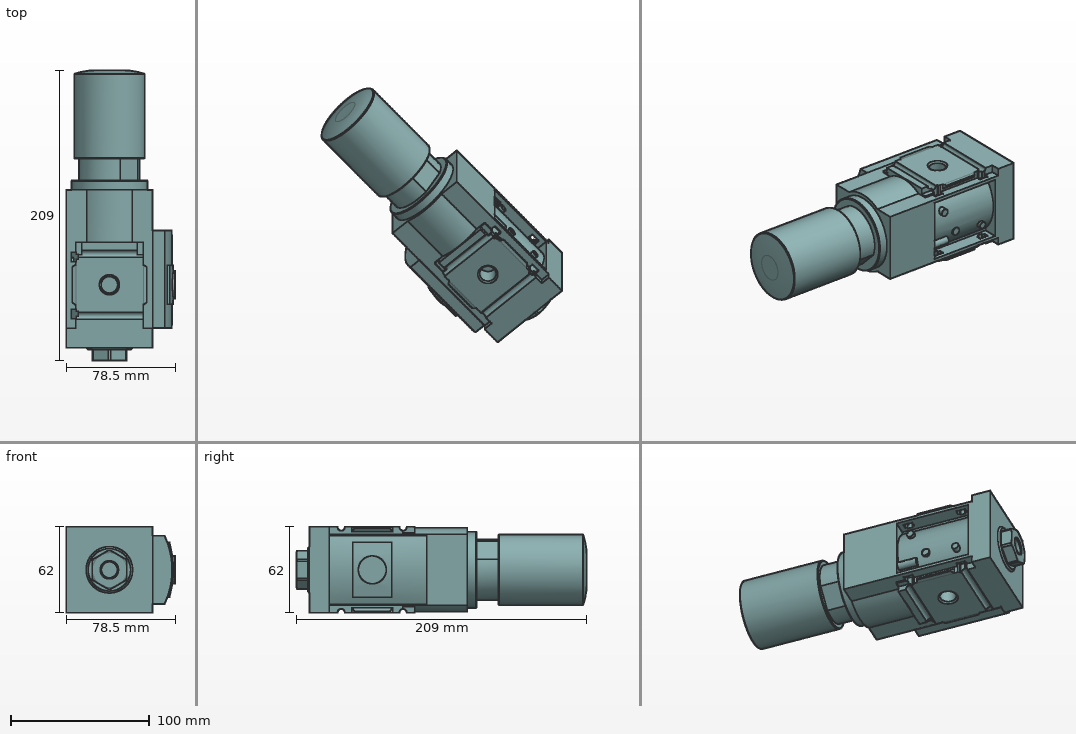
import cadquery as cq
import math


housing_width = 62.0
housing_length = 113.8
front_block_length = 14.2
slab_height = 51.0
barrel_diameter = 60.6
half_width = housing_width / 2

flange_diameter = 55.0
flange_length = 7.0
flange_chamfer = 0.6
neck_diameter = 44.0
neck_across_flats = 40.0
neck_flat_angle = 45
knob_diameter = 51.0
knob_start = 136.1
knob_chamfer = 0.6
dome_height = 2.5
dome_flat_diameter = 18.8
overall_length = 209.0
hex_length = 8.0
collar_length = 1.3
front_end = -(hex_length + collar_length)
rear_end = front_end + overall_length

collar_diameter = 33.5
collar_front_diameter = 30.5
hex_sides = 6
hex_across_flats = 24.9
hex_corner_diameter = 27.8
hex_end_diameter = 25.0
hex_end_chamfer_length = 0.5
plug_bore_diameter = 11.5
plug_bore_depth = 16.7
plug_bore_chamfer = 0.8

pad_width = 48.5
pad_end = 76.0
groove_diameter = 5.0
groove_axis_depth = 0.31
groove_positions = (23.0, 67.5)
notch_width = 4.2
notch_start = 67.1
notch_depth = 4.4
port_y = 45.4
port_diameter = 12.0
port_depth = 16.7
port_chamfer = 1.3

lip_reach = 2.5
lip_length = 29.3
lip_tip_length = 25.5
lip_tip_drop = 0.5
lip_tip_thickness = 0.8
lip_root_thickness = 3.8

pocket_start = 17.1
pocket_end = 72.8
pocket_height = 46.0
pocket_depth = 10.9
pocket_floor_diameter = 58.1
peg_root_x = -25.0
pegs = (
    (62.5, 11.0, 5.5, -30.1),
    (51.2, -8.5, 5.9, -28.9),
    (27.5, -11.0, 5.0, -30.1),
)
bar_length = 14.2
bar_diameter = 5.9
bar_x = -26.8
bar_z = -13.5

clip_slot_positions = (24.5, 65.5)
clip_slot_length = 7.0
clip_slot_outer_x = -27.4
clip_slot_inner_x = -23.8
clip_neck_length = 3.8
clip_neck_inner_x = -22.5
clip_slot_bottom = 21.0

gauge_start = front_block_length
gauge_end = 84.5
gauge_height = 49.3
gauge_edge_x = 39.7
gauge_crown_x = 45.2
plate_length = 27.8
plate_height = 39.5
plate_edge_x = 43.3
plate_crown_x = 46.0
button_diameter = 20.0
overall_width = 78.5
button_end_x = overall_width - half_width


def box(x_range, y_range, z_range):
    """Box given by its limits along each axis."""
    size = [high - low for low, high in (x_range, y_range, z_range)]
    corner = cq.Vector(x_range[0], y_range[0], z_range[0])
    return cq.Workplane("XY").box(*size, centered=False).translate(corner)


def rod(diameter, y_start, y_end, x=0.0, z=0.0):
    """Cylinder along Y."""
    plane = cq.Plane(origin=(x, y_start, z), xDir=(1, 0, 0), normal=(0, 1, 0))
    return cq.Workplane(plane).circle(diameter / 2).extrude(y_end - y_start)


def on_both_sides(shape):
    """The shape together with its mirror image below the XY plane."""
    return shape.union(shape.mirror("XY"))


def make_shell():
    """Square front block, flat-sided slab and the barrel through them."""
    front_block = box((-half_width, half_width), (0, front_block_length), (-half_width, half_width))
    slab = box((-half_width, half_width), (0, housing_length), (-slab_height / 2, slab_height / 2))
    barrel = rod(barrel_diameter, 0, housing_length)
    return front_block.union(slab).union(barrel)


def make_lip():
    """Lip on the +X side of a pad, tapered at its tip and at both ends."""
    root_x = pad_width / 2
    tip_x = root_x + lip_reach
    tip_top = half_width - lip_tip_drop
    section = (
        cq.Workplane("XZ", origin=(0, port_y + lip_length / 2, 0))
        .polyline([
            (root_x, half_width),
            (tip_x, tip_top),
            (tip_x, tip_top - lip_tip_thickness),
            (root_x, half_width - lip_root_thickness),
        ])
        .close()
        .extrude(lip_length)
    )
    outline = (
        cq.Workplane("XY")
        .polyline([
            (root_x, port_y - lip_length / 2),
            (tip_x, port_y - lip_tip_length / 2),
            (tip_x, port_y + lip_tip_length / 2),
            (root_x, port_y + lip_length / 2),
        ])
        .close()
        .extrude(housing_width)
    )
    return section.intersect(outline)


def make_pad():
    """Port pad on the +Z side, with its rear corner notches and side lips."""
    half_pad = pad_width / 2
    pad = box((-half_pad, half_pad), (front_block_length, pad_end), (0, half_width))
    notch = box(
        (half_pad - notch_width, half_pad),
        (notch_start, pad_end),
        (half_width - notch_depth, half_width),
    )
    pad = pad.cut(notch).cut(notch.mirror("YZ"))
    lip = make_lip()
    return pad.union(lip).union(lip.mirror("YZ"))


def make_groove(y):
    """Round-bottomed groove running along X across the +Z pad."""
    half_pad = pad_width / 2
    radius = groove_diameter / 2
    axis_z = half_width - groove_axis_depth
    round_bottom = cq.Workplane("YZ", origin=(-half_pad, y, axis_z)).circle(radius).extrude(pad_width)
    mouth = box((-half_pad, half_pad), (y - radius, y + radius), (axis_z, half_width))
    return round_bottom.union(mouth)


def drill(diameter, chamfer, depth):
    """Blind hole with a chamfered mouth, running down from the origin."""
    radius = diameter / 2
    return (
        cq.Workplane("XZ")
        .lineTo(radius + chamfer, 0)
        .lineTo(radius, -chamfer)
        .lineTo(radius, -depth)
        .lineTo(0, -depth)
        .close()
        .revolve(360, (0, 0, 0), (0, 1, 0))
    )


def make_pocket():
    """Pocket with flat edges along a rounded floor."""
    pocket = box(
        (-half_width, -half_width + pocket_depth),
        (pocket_start, pocket_end),
        (-pocket_height / 2, pocket_height / 2),
    )
    return pocket.cut(rod(pocket_floor_diameter, pocket_start, pocket_end))


def add_pegs(body):
    """Body with the round pegs and the lengthwise bar standing in its pocket."""
    for y, z, diameter, end_x in pegs:
        peg = (
            cq.Workplane("YZ", origin=(end_x, y, z))
            .circle(diameter / 2)
            .extrude(peg_root_x - end_x)
        )
        body = body.union(peg)
    return body.union(rod(bar_diameter, pocket_end - bar_length, pocket_end, bar_x, bar_z))


def make_clip_slot(y):
    """T-shaped slot through the wall above the pocket."""
    z_range = (clip_slot_bottom, half_width)
    head = box(
        (clip_slot_outer_x, clip_slot_inner_x),
        (y - clip_slot_length / 2, y + clip_slot_length / 2),
        z_range,
    )
    neck = box(
        (clip_slot_outer_x, clip_neck_inner_x),
        (y - clip_neck_length / 2, y + clip_neck_length / 2),
        z_range,
    )
    return head.union(neck)


def make_neck():
    """Flange and neck behind the housing; the neck has two slanted flats."""
    flange_end = housing_length + flange_length
    flange = rod(flange_diameter, housing_length, flange_end).faces(">Y").chamfer(flange_chamfer)
    neck = rod(neck_diameter, housing_length, knob_start)
    flats = (
        cq.Workplane("XY")
        .box(neck_diameter, 2 * overall_length, neck_across_flats)
        .rotate((0, 0, 0), (0, 1, 0), neck_flat_angle)
    )
    return flange.union(neck.intersect(flats))


def make_knob():
    """Knob with a domed rear end, flat in its centre and tangent to that flat."""
    radius = knob_diameter / 2
    rim = radius - knob_chamfer
    shoulder = rear_end - dome_height
    flat = dome_flat_diameter / 2
    dome_span = rim - flat
    dome_radius = (dome_span ** 2 + dome_height ** 2) / (2 * dome_height)
    mid_x = flat + dome_span / 2
    mid_y = rear_end - dome_radius + math.sqrt(dome_radius ** 2 - (dome_span / 2) ** 2)
    return (
        cq.Workplane("XY")
        .moveTo(0, knob_start)
        .lineTo(rim, knob_start)
        .lineTo(radius, knob_start + knob_chamfer)
        .lineTo(radius, shoulder - knob_chamfer)
        .lineTo(rim, shoulder)
        .threePointArc((mid_x, mid_y), (flat, rear_end))
        .lineTo(0, rear_end)
        .close()
        .revolve(360, (0, 0, 0), (0, 1, 0))
    )


def make_collar():
    """Cone-edged collar between the front face and the hexagon."""
    return (
        cq.Workplane("XZ")
        .circle(collar_diameter / 2)
        .workplane(offset=collar_length)
        .circle(collar_front_diameter / 2)
        .loft(ruled=True)
    )


def make_hexagon():
    """Hexagon with a turned front end and slightly rounded corners."""
    corner_angle = 180 / hex_sides
    corner_circle = hex_across_flats / math.cos(math.radians(corner_angle))
    hexagon = (
        cq.Workplane("XZ")
        .polygon(hex_sides, corner_circle)
        .extrude(-front_end)
        .rotate((0, 0, 0), (0, 1, 0), corner_angle)
    )
    turned = (
        cq.Workplane("XY")
        .moveTo(0, front_end)
        .lineTo(hex_end_diameter / 2, front_end)
        .lineTo(hex_corner_diameter / 2, front_end + hex_end_chamfer_length)
        .lineTo(hex_corner_diameter / 2, 0)
        .lineTo(0, 0)
        .close()
        .revolve(360, (0, 0, 0), (0, 1, 0))
    )
    return hexagon.intersect(turned)


def make_port():
    """Chamfered port hole entering from the +Z side."""
    return drill(port_diameter, port_chamfer, port_depth).translate((0, port_y, half_width))


def make_plug_bore():
    """Chamfered bore entering the front end of the hexagon."""
    bore = drill(plug_bore_diameter, plug_bore_chamfer, plug_bore_depth)
    return bore.rotate((0, 0, 0), (1, 0, 0), 90).translate((0, front_end, 0))


def make_regulator():
    """Housing, neck, knob and front plug as one solid."""
    body = make_shell().union(on_both_sides(make_pad()))
    for y in groove_positions:
        body = body.cut(on_both_sides(make_groove(y)))
    body = body.cut(on_both_sides(make_port()))
    body = body.cut(make_pocket())
    body = add_pegs(body)
    for y in clip_slot_positions:
        body = body.cut(on_both_sides(make_clip_slot(y)))
    body = body.union(make_neck()).union(make_knob())
    body = body.union(make_collar()).union(make_hexagon())
    return body.cut(make_plug_bore())


def crowned_block(edge_x, crown_x, height, y_start, y_end):
    """Block on the +X face of the housing whose outer side is an arc bulging towards +X."""
    return (
        cq.Workplane("XZ", origin=(0, y_end, 0))
        .moveTo(half_width, -height / 2)
        .lineTo(edge_x, -height / 2)
        .threePointArc((crown_x, 0), (edge_x, height / 2))
        .lineTo(half_width, height / 2)
        .close()
        .extrude(y_end - y_start)
    )


def make_gauge():
    """Gauge case with a crowned plate and a round button on it."""
    case = crowned_block(gauge_edge_x, gauge_crown_x, gauge_height, gauge_start, gauge_end)
    plate = crowned_block(
        plate_edge_x, plate_crown_x, plate_height, port_y - plate_length / 2, port_y + plate_length / 2
    )
    button = (
        cq.Workplane("YZ", origin=(half_width, port_y, 0))
        .circle(button_diameter / 2)
        .extrude(button_end_x - half_width)
    )
    return case.union(plate).union(button)


regulator = make_regulator()
gauge = make_gauge()

result = cq.Compound.makeCompound([regulator.val(), gauge.val()])